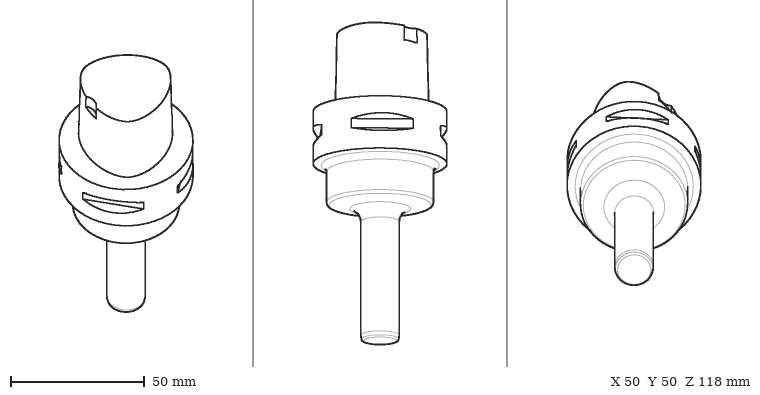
import cadquery as cq
import math

total_height = 118.0
taper_length = 30.0
flange_width = 20.1
flange_top = total_height - taper_length
flange_bottom = flange_top - flange_width
collar_bottom = 52.3

flange_radius = 50.0 / 2
collar_radius = 40.0 / 2
shank_radius = 14.5 / 2
shoulder_angle = 10.0
collar_neck_fillet = 2.5
collar_edge_fillet = 1.2
shank_neck_fillet = 5.0
tip_lead_length = 2.1
tip_edge_fillet = 0.8

taper_base_radius = 17.6
taper_top_radius = 16.9
lobe_height = 1.2
lobe_count = 3
lobe_direction = 90.0
outline_points = 48

notch_depth = 5.5
notch_radius = 5.0
notch_inner_y = -14.0

slot_count = 4
slot_first_angle = 45.0
slot_floor_distance = 22.2
slot_floor_width = 3.5
slot_flank_angle = 30.0
slot_center_z = 78.1

edge_margin = 0.1

slope = math.tan(math.radians(shoulder_angle))


def turned_body():
    """Flange, collar and shank revolved about Z, with their round edges."""
    collar_top = flange_bottom - (flange_radius - collar_radius) * slope
    neck_z = collar_bottom - (collar_radius - shank_radius) * slope
    tip_radius = shank_radius - tip_lead_length * slope
    body = (
        cq.Workplane("XZ")
        .moveTo(0, 0)
        .lineTo(tip_radius, 0)
        .lineTo(shank_radius, tip_lead_length)
        .lineTo(shank_radius, neck_z)
        .lineTo(collar_radius, collar_bottom)
        .lineTo(collar_radius, collar_top)
        .lineTo(flange_radius, flange_bottom)
        .lineTo(flange_radius, flange_top)
        .lineTo(0, flange_top)
        .close()
        .revolve(360, (0, 0), (0, 1))
    )
    round_edges = [
        (collar_radius, collar_top, collar_neck_fillet),
        (collar_radius, collar_bottom, collar_edge_fillet),
        (shank_radius, neck_z, shank_neck_fillet),
        (tip_radius, 0, tip_edge_fillet),
    ]
    for edge_radius, edge_z, fillet_radius in round_edges:
        reach = edge_radius + edge_margin
        edge_box = cq.selectors.BoxSelector(
            (-reach, -reach, edge_z - edge_margin), (reach, reach, edge_z + edge_margin), boundingbox=True
        )
        body = body.edges(edge_box).fillet(fillet_radius)
    return body


def lobed_outline(mean_radius):
    """Points of the curve whose tangent distance is mean_radius + lobe_height * cos(3 * angle)."""
    points = []
    for index in range(outline_points):
        angle = 2 * math.pi * index / outline_points
        distance = mean_radius + lobe_height * math.cos(lobe_count * angle)
        shift = -lobe_count * lobe_height * math.sin(lobe_count * angle)
        turned = angle + math.radians(lobe_direction)
        x = distance * math.cos(turned) - shift * math.sin(turned)
        y = distance * math.sin(turned) + shift * math.cos(turned)
        points.append((x, y))
    return points


def lobed_taper():
    return (
        cq.Workplane("XY", origin=(0, 0, flange_top))
        .spline(lobed_outline(taper_base_radius), periodic=True)
        .close()
        .workplane(offset=taper_length)
        .spline(lobed_outline(taper_top_radius), periodic=True)
        .close()
        .loft(ruled=True)
    )


def key_notch():
    return (
        cq.Workplane("XY", origin=(0, notch_inner_y - notch_radius, total_height - notch_depth))
        .circle(notch_radius)
        .extrude(notch_depth)
    )


def gripper_slot(angle):
    """Straight slot with a flat floor and flanks that open outwards."""
    depth = flange_radius - slot_floor_distance
    half_floor = slot_floor_width / 2
    half_mouth = half_floor + depth * math.tan(math.radians(slot_flank_angle))
    return (
        cq.Workplane("XZ")
        .moveTo(slot_floor_distance, slot_center_z - half_floor)
        .lineTo(flange_radius, slot_center_z - half_mouth)
        .lineTo(flange_radius, slot_center_z + half_mouth)
        .lineTo(slot_floor_distance, slot_center_z + half_floor)
        .close()
        .extrude(flange_radius, both=True)
        .rotate((0, 0, 0), (0, 0, 1), angle)
    )


result = turned_body().union(lobed_taper()).cut(key_notch())
for slot_index in range(slot_count):
    result = result.cut(gripper_slot(slot_first_angle + slot_index * 360 / slot_count))